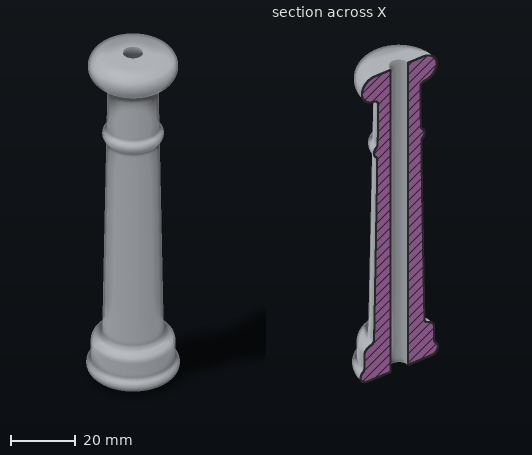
import cadquery as cq
import math

INCH = 25.4

HEIGHT = 4.64 * INCH
BORE_RADIUS = 0.125 * INCH
BLEND_RADIUS = 0.0625 * INCH

SHAFT_FOOT_RADIUS = 0.374 * INCH
SHAFT_FOOT_Z = 0.60 * INCH
SHAFT_TAPER_DEGREES = 1.0

HEAD_RADIUS = 0.55 * INCH
HEAD_ROLL = 0.195 * INCH
BEAD_RADIUS = 0.375 * INCH
BEAD_ROLL = 0.095 * INCH
BEAD_Z = 3.46 * INCH
FOOT_RADIUS = 0.57 * INCH
FOOT_ROLL = 0.0975 * INCH

COLLAR_RADIUS = 0.515 * INCH
SHOULDER_ROLL = 0.12 * INCH
SHOULDER_Z = 0.42 * INCH

HEAD = (HEAD_RADIUS - HEAD_ROLL, HEIGHT - HEAD_ROLL, HEAD_ROLL)
BEAD = (BEAD_RADIUS - BEAD_ROLL, BEAD_Z, BEAD_ROLL)
SHOULDER = (COLLAR_RADIUS - SHOULDER_ROLL, SHOULDER_Z, SHOULDER_ROLL)
FOOT = (FOOT_RADIUS - FOOT_ROLL, FOOT_ROLL, FOOT_ROLL)

SHAFT_SLOPE = -math.tan(math.radians(SHAFT_TAPER_DEGREES))
SHAFT_WALL = (SHAFT_FOOT_RADIUS - SHAFT_SLOPE * SHAFT_FOOT_Z, SHAFT_SLOPE)
COLLAR_WALL = (COLLAR_RADIUS, 0.0)


def point_on_circle(centre, radius, angle):
    """Point of a circle in the radial section, as (radius, height)."""
    return (centre[0] + radius * math.cos(angle), centre[1] + radius * math.sin(angle))


def middle_of_arc(centre, radius, start, end):
    """Midpoint of the shorter arc between two points of a circle."""
    chord_r = (start[0] + end[0]) / 2 - centre[0]
    chord_z = (start[1] + end[1]) / 2 - centre[1]
    return point_on_circle(centre, radius, math.atan2(chord_z, chord_r))


def blend(roll, wall, side):
    """Concave fillet between a roll and a wall, above (side=1) or below (side=-1) the roll.

    Returns the fillet's end on the roll, its midpoint and its end on the wall.
    """
    roll_r, roll_z, roll_radius = roll
    wall_r, slope = wall
    stretch = math.hypot(1, slope)

    offset = wall_r + BLEND_RADIUS * stretch + slope * roll_z - roll_r
    reach = roll_radius + BLEND_RADIUS
    root = math.sqrt((reach * stretch) ** 2 - offset**2)
    rise = (side * root - slope * offset) / stretch**2
    centre = (roll_r + offset + slope * rise, roll_z + rise)

    share = roll_radius / reach
    on_roll = (roll_r + share * (centre[0] - roll_r), roll_z + share * rise)
    on_wall = (centre[0] - BLEND_RADIUS / stretch, centre[1] + BLEND_RADIUS * slope / stretch)
    return on_roll, middle_of_arc(centre, BLEND_RADIUS, on_roll, on_wall), on_wall


def outermost(roll):
    """Point of a roll furthest from the axis."""
    return (roll[0] + roll[2], roll[1])


def make_turned_body():
    """Revolve the outer profile, bore included, about the Z axis."""
    foot_blend, foot_blend_mid, collar_start = blend(FOOT, COLLAR_WALL, 1)
    shoulder_start = outermost(SHOULDER)
    shoulder_end, shoulder_blend_mid, shaft_start = blend(SHOULDER, SHAFT_WALL, 1)
    shoulder_mid = middle_of_arc(SHOULDER, SHOULDER_ROLL, shoulder_start, shoulder_end)
    bead_start, bead_lower_mid, bead_lower_wall = blend(BEAD, SHAFT_WALL, -1)
    bead_end, bead_upper_mid, bead_upper_wall = blend(BEAD, SHAFT_WALL, 1)
    head_start, head_blend_mid, neck_end = blend(HEAD, SHAFT_WALL, -1)

    profile = (
        cq.Workplane("XZ")
        .moveTo(BORE_RADIUS, 0)
        .lineTo(FOOT[0], 0)
        .threePointArc(outermost(FOOT), foot_blend)
        .threePointArc(foot_blend_mid, collar_start)
        .lineTo(*shoulder_start)
        .threePointArc(shoulder_mid, shoulder_end)
        .threePointArc(shoulder_blend_mid, shaft_start)
        .lineTo(*bead_lower_wall)
        .threePointArc(bead_lower_mid, bead_start)
        .threePointArc(outermost(BEAD), bead_end)
        .threePointArc(bead_upper_mid, bead_upper_wall)
        .lineTo(*neck_end)
        .threePointArc(head_blend_mid, head_start)
        .threePointArc(outermost(HEAD), (HEAD[0], HEIGHT))
        .lineTo(BORE_RADIUS, HEIGHT)
        .close()
    )
    return profile.revolve(360, (0, 0, 0), (0, 1, 0))


result = make_turned_body()